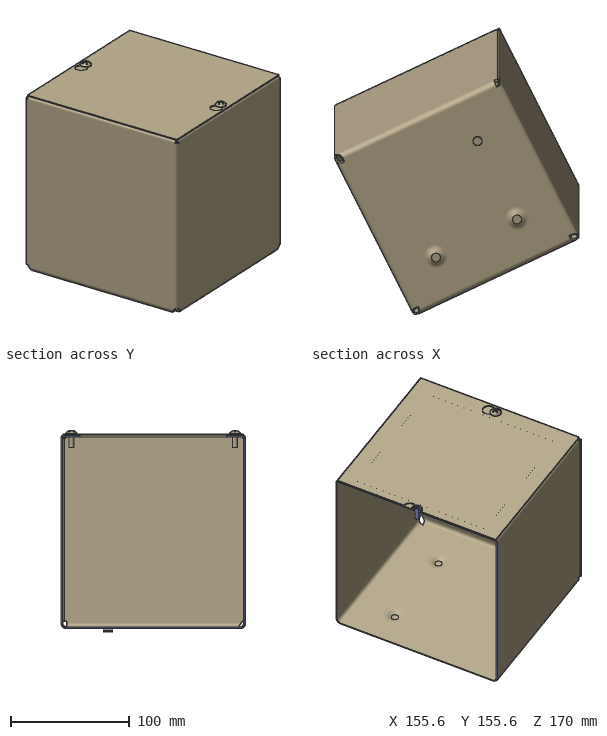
import cadquery as cq

overall_height = 170
box_side = 155.6
box_height = 163.1
sheet = 1.5
wall_bend_radius = 2.4
floor_bend_radius = 4.8
flange_width = 16.1
seam_tab_length = 8.5

relief_base = 7.1
relief_top = 2.5
relief_height = 6.1
seam_relief_top = 1.4
seam_relief_base = 4.8

foot_offset = 38.0
foot_depth = 2.7
foot_tip_diameter = 7.6
foot_slope_run = 3.2
foot_slope_rise = 1.9
foot_flare_radius = 10.2

lid_inset = 1.5
lid_thickness = 1.0
keyhole_head_diameter = 10.5
keyhole_neck_width = 8.5
keyhole_travel = 6.8

screw_offset = 69.0
screw_head_diameter = 9.7
screw_head_height = overall_height - foot_depth - box_height - lid_thickness
screw_head_rim = 0.5
screw_top_flat_radius = 1.0
dome_bulge = 0.3
screw_shank_diameter = 4.2
screw_shank_length = 10.2
recess_length = 5.5
recess_width = 0.8
recess_depth = 1.5
screw_angles = {-1: 57, 1: 0}

half_side = box_side / 2


def rounded_block(inset):
    """Box envelope moved inward by inset, with all bends rounded."""
    half = half_side - inset
    upright = wall_bend_radius - inset
    lower = floor_bend_radius - inset
    bottom, top = inset, box_height - inset
    block = (
        cq.Workplane("XY").workplane(offset=bottom)
        .rect(2 * half, 2 * half).extrude(top - bottom)
        .edges("|Z").edges("not(<X and >Y)").fillet(upright)
    )
    for plane, axis in (("XZ", "|Y"), ("YZ", "|X")):
        side = (
            cq.Workplane(plane).center(0, (bottom + top) / 2)
            .rect(2 * half, top - bottom).extrude(half, both=True)
        )
        side = side.edges(axis).edges("<Z").fillet(lower)
        side = side.edges(axis).edges(">Z").fillet(upright)
        block = block.intersect(side)
    return block


def box_between(low, high):
    """Axis-aligned block between two opposite corners."""
    size = [b - a for a, b in zip(low, high)]
    return cq.Workplane("XY").box(*size, centered=False).translate(low)


def corner_cylinder(radius, low, high):
    """Upright cylinder on the bend axis of the seam corner."""
    return (
        cq.Workplane("XY").workplane(offset=low)
        .center(seam_x + wall_bend_radius, half_side - wall_bend_radius)
        .circle(radius).extrude(high - low)
    )


bend_top = box_height - wall_bend_radius
left_x = -half_side
seam_x = left_x + sheet


def add_seam(box):
    """Back wall turned inward behind the left wall, with its lapped tab."""
    corner_low = (seam_x, half_side - wall_bend_radius)
    corner_high = (seam_x + wall_bend_radius, half_side)
    box = box.cut(box_between((*corner_low, 0), (*corner_high, box_height)))
    bend = corner_cylinder(wall_bend_radius, relief_height, bend_top)
    bend = bend.cut(corner_cylinder(wall_bend_radius - sheet, relief_height, bend_top))
    bend = bend.intersect(box_between((*corner_low, relief_height), (*corner_high, bend_top)))
    tab = box_between(
        (seam_x, corner_low[1] - seam_tab_length, relief_height),
        (seam_x + sheet, corner_low[1], bend_top),
    )
    return box.union(bend).union(tab)


def cut_top_opening(box):
    """Opening framed by the four top flanges."""
    reach = half_side - flange_width
    return box.cut(box_between((-reach, -reach, box_height / 2), (reach, reach, box_height)))


def cut_top_notches(box):
    """Square notches that part the flange bends at the corners."""
    for x_side in (-1, 1):
        for y_side in (-1, 1):
            at_seam = (x_side, y_side) == (-1, 1)
            length = wall_bend_radius + (sheet if at_seam else 0)
            notch = cq.Workplane("XY").box(2 * length, 2 * wall_bend_radius, 2 * wall_bend_radius)
            box = box.cut(notch.translate((x_side * half_side, y_side * half_side, box_height)))
    return box


def cut_floor_reliefs(box):
    """Tapered reliefs at the three bent corners of the floor."""
    for x_side, y_side in ((-1, -1), (1, -1), (1, 1)):
        relief = (
            cq.Workplane("XY").rect(2 * relief_base, 2 * relief_base)
            .workplane(offset=relief_height).rect(2 * relief_top, 2 * relief_top)
            .loft(ruled=True)
        )
        box = box.cut(relief.translate((x_side * half_side, y_side * half_side, 0)))
    return box


def cut_seam_relief(box):
    """Sloping end of the left wall's floor bend, and the clearance under the back wall's bend."""
    slope = (
        cq.Workplane("YZ").workplane(offset=left_x)
        .moveTo(half_side, 0)
        .lineTo(half_side - seam_relief_base, 0)
        .lineTo(half_side - seam_relief_top, floor_bend_radius)
        .lineTo(half_side, floor_bend_radius)
        .close().extrude(floor_bend_radius)
    )
    clearance = box_between(
        (seam_x, half_side - floor_bend_radius, 0),
        (left_x + floor_bend_radius, half_side, relief_height),
    )
    return box.cut(slope).cut(clearance)


def make_foot():
    """Pressed patch of floor sheet, out to where its flare is level with the floor."""
    tip = foot_tip_diameter / 2
    flank = tip + foot_slope_run
    flank_z = foot_slope_rise - foot_depth
    inner_shift = sheet / 2
    return (
        cq.Workplane("XZ")
        .moveTo(0, -foot_depth).lineTo(tip, -foot_depth).lineTo(flank, flank_z)
        .tangentArcPoint((foot_flare_radius, 0), relative=False)
        .lineTo(foot_flare_radius, sheet).lineTo(foot_flare_radius - inner_shift, sheet)
        .lineTo(flank - inner_shift, flank_z + sheet)
        .lineTo(tip - inner_shift, sheet - foot_depth)
        .lineTo(0, sheet - foot_depth)
        .close().revolve(360, (0, 0, 0), (0, 1, 0))
    )


def press_feet(box):
    """Two hollow feet near the front edge of the floor."""
    foot = make_foot()
    blank = cq.Workplane("XY").circle(foot_flare_radius).extrude(sheet)
    for x in (-foot_offset, foot_offset):
        place = (x, -foot_offset, 0)
        box = box.cut(blank.translate(place)).union(foot.translate(place))
    return box


def drill_screw_holes(box):
    """Holes in the left and right flanges for the screw shanks."""
    holes = (
        cq.Workplane("XY").workplane(offset=box_height)
        .pushPoints([(-screw_offset, 0), (screw_offset, 0)])
        .circle(screw_shank_diameter / 2).extrude(-screw_shank_length)
    )
    return box.cut(holes)


def make_box():
    box = rounded_block(0).cut(rounded_block(sheet))
    box = add_seam(box)
    box = cut_top_opening(box)
    box = cut_top_notches(box)
    box = cut_floor_reliefs(box)
    box = cut_seam_relief(box)
    box = press_feet(box)
    return drill_screw_holes(box)


def make_lid():
    """Flat plate with two keyholes, each wide end toward the front."""
    lid_side = box_side - 2 * lid_inset
    lid = cq.Workplane("XY").workplane(offset=box_height).rect(lid_side, lid_side).extrude(lid_thickness)
    for x in (-screw_offset, screw_offset):
        plane = cq.Workplane("XY").workplane(offset=box_height)
        wide_end = plane.center(x, -keyhole_travel).circle(keyhole_head_diameter / 2).extrude(lid_thickness)
        neck = (
            plane.center(x, -keyhole_travel / 2)
            .slot2D(keyhole_travel + keyhole_neck_width, keyhole_neck_width, 90).extrude(lid_thickness)
        )
        lid = lid.cut(wide_end).cut(neck)
    return lid


def make_screw(x, angle):
    """Domed screw with a cross recess, its head resting on the lid."""
    head_z = box_height + lid_thickness
    head_radius = screw_head_diameter / 2
    shank_radius = screw_shank_diameter / 2
    top_z = head_z + screw_head_height
    rim_z = head_z + screw_head_rim
    dome_middle = (
        (head_radius + screw_top_flat_radius) / 2 + dome_bulge,
        (rim_z + top_z) / 2 + dome_bulge,
    )
    shank_z = box_height - screw_shank_length
    screw = (
        cq.Workplane("XZ")
        .moveTo(0, shank_z).lineTo(shank_radius, shank_z).lineTo(shank_radius, head_z)
        .lineTo(head_radius, head_z).lineTo(head_radius, rim_z)
        .threePointArc(dome_middle, (screw_top_flat_radius, top_z))
        .lineTo(0, top_z).close().revolve(360, (0, 0, 0), (0, 1, 0))
    )
    for turn in (angle, angle + 90):
        arm = (
            cq.Workplane("XY").workplane(offset=top_z)
            .transformed(rotate=(0, 0, turn))
            .rect(recess_length, recess_width).extrude(-recess_depth)
        )
        screw = screw.cut(arm)
    return screw.translate((x, 0, 0))


def make_disc():
    """Disc below the back of the floor, level with the tips of the feet."""
    return (
        cq.Workplane("XY").workplane(offset=-foot_depth)
        .center(-foot_offset, foot_offset)
        .circle(foot_tip_diameter / 2).extrude(sheet)
    )


housing = make_box()
lid = make_lid()
screws = [make_screw(side * screw_offset, angle) for side, angle in screw_angles.items()]
disc = make_disc()

result = cq.Compound.makeCompound(
    [housing.val(), lid.val(), *[screw.val() for screw in screws], disc.val()]
)